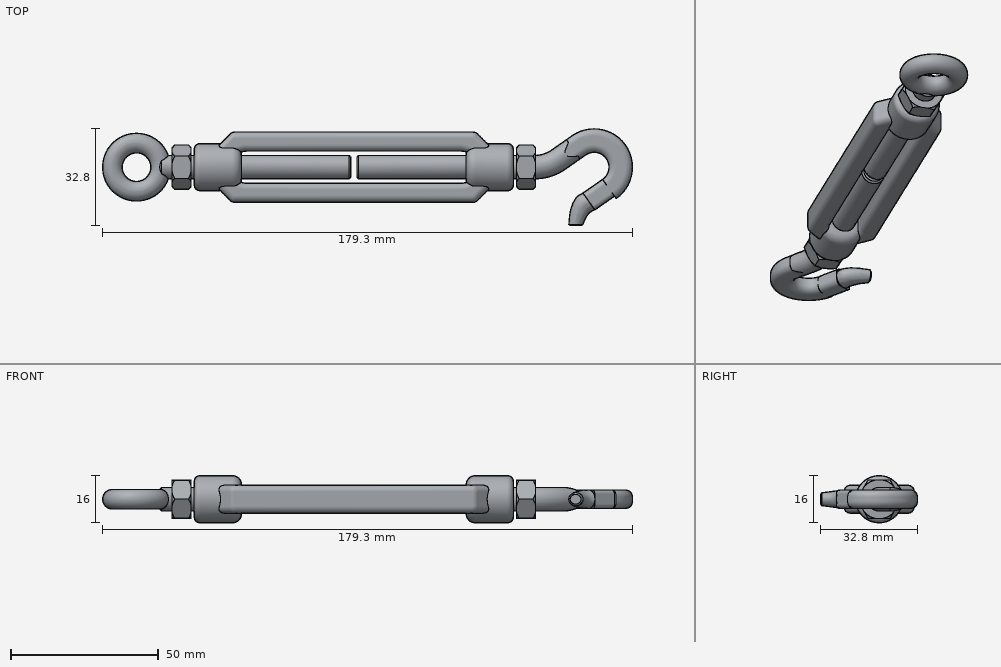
import math
import cadquery as cq


FRAME_LENGTH = 108.0
BARREL_LENGTH = 16.0
BARREL_RADIUS = 8.0
BARREL_OUTER_FILLET = 2.0
BARREL_INNER_FILLET = 3.0
BAR_OUTER_Y = 11.9
BAR_INNER_Y = 5.4
BAR_HEIGHT = 9.5
BAR_FILLET = 2.2
BAR_TURN_ANGLE = 45.0
BAR_CORNER_X = 41.2
BAR_OUTER_CORNER_RADIUS = 2.0
BAR_INNER_CORNER_RADIUS = 5.4
BAR_ROOT_Y = 3.0

BOLT_RADIUS = 4.0
BOLT_GAP = 2.0
BOLT_CHAMFER = 0.6
NUT_ACROSS_FLATS = 13.0
NUT_THICKNESS = 6.5
NUT_GAP = 1.0
NUT_CHAMFER_HEIGHT = 0.9
NUT_CHAMFER_WIDTH = 0.9

EYE_CENTRE_X = -73.5
EYE_OUTER_RADIUS = 11.5
EYE_WIRE_RADIUS = 3.35
EYE_NECK_X = -66.3
EYE_NECK_CHAMFER = 1.3

HOOK_CENTRE_X = 81.25
HOOK_INNER_RADIUS = 5.0
HOOK_OUTER_RADIUS = 13.0
HOOK_HEIGHT = 6.3
HOOK_FILLET = 2.4
HOOK_ANGLE = 35.0
SHANK_BEND_RADIUS = 14.0
FLATTENING_LENGTH = 3.6
FLATTENING_END_GAP = 2.3
FLATTENING_CLEARANCE = 0.1
ARM_LENGTH = 8.1
ARM_OUTER_RADIUS = 12.0
ARM_OUTER_FILLET = 1.4
ARM_INNER_FILLET = 2.1
TIP_Y = -19.8
TIP_X = 75.0
TIP_WIDTH = 4.7
TIP_HEIGHT = 4.3
TIP_CHAMFER = 0.5
TIP_ANGLE = 270.0
NECK_X = 76.6
NECK_Y = -14.15
NECK_ANGLE = 234.0
NECK_WIDTH = 6.4
NECK_HEIGHT = 5.8

FRAME_END = FRAME_LENGTH / 2
NUT_START = FRAME_END + NUT_GAP
HOOK_MID_RADIUS = (HOOK_INNER_RADIUS + HOOK_OUTER_RADIUS) / 2
HOOK_DEPTH = HOOK_OUTER_RADIUS - HOOK_INNER_RADIUS
HOOK_START_ANGLE = 90 + HOOK_ANGLE
HOOK_END_ANGLE = HOOK_ANGLE - 90


def mirrored(solid, plane):
    """The solid together with its mirror image."""
    return solid.union(solid.mirror(plane))


def make_barrel():
    barrel = (
        cq.Workplane("YZ", origin=(FRAME_END - BARREL_LENGTH, 0, 0))
        .circle(BARREL_RADIUS)
        .extrude(BARREL_LENGTH)
    )
    barrel = barrel.faces(">X").edges().fillet(BARREL_OUTER_FILLET)
    return barrel.faces("<X").edges().fillet(BARREL_INNER_FILLET)


def round_upright_edge(solid, x, y, radius):
    """Fillet the edge parallel to Z that passes through (x, y)."""
    edge = cq.selectors.NearestToPointSelector((x, y, 0))
    return solid.edges("|Z").edges(edge).fillet(radius)


def make_bar():
    """The +Y bar, with both ends turned inward to meet the barrels."""
    width = BAR_OUTER_Y - BAR_INNER_Y
    turn = math.radians(BAR_TURN_ANGLE)
    inner_corner_x = BAR_CORNER_X - width * math.tan(turn / 2)
    outer_root_x = BAR_CORNER_X + (BAR_OUTER_Y - BAR_ROOT_Y) / math.tan(turn)
    inner_root_x = inner_corner_x + (BAR_INNER_Y - BAR_ROOT_Y) / math.tan(turn)
    positive_end = [
        (inner_corner_x, BAR_INNER_Y),
        (inner_root_x, BAR_ROOT_Y),
        (outer_root_x, BAR_ROOT_Y),
        (BAR_CORNER_X, BAR_OUTER_Y),
    ]
    negative_end = [(-x, y) for x, y in reversed(positive_end)]
    bar = (
        cq.Workplane("XY")
        .polyline(positive_end + negative_end)
        .close()
        .extrude(BAR_HEIGHT / 2, both=True)
    )
    for side in (-1, 1):
        bar = round_upright_edge(bar, side * BAR_CORNER_X, BAR_OUTER_Y, BAR_OUTER_CORNER_RADIUS)
        bar = round_upright_edge(bar, side * inner_corner_x, BAR_INNER_Y, BAR_INNER_CORNER_RADIUS)
    return bar.faces("|Z").edges("not(<Y)").fillet(BAR_FILLET)


def make_frame():
    frame = mirrored(make_bar(), "XZ")
    return frame.union(mirrored(make_barrel(), "YZ"))


def make_nut():
    """Hexagon nut on the +X side, corners chamfered at both faces."""
    corner_radius = NUT_ACROSS_FLATS / math.sqrt(3)
    hexagon = (
        cq.Workplane("YZ", origin=(NUT_START, 0, 0))
        .polygon(6, 2 * corner_radius)
        .extrude(NUT_THICKNESS)
    )
    turned = (
        cq.Workplane("YZ", origin=(NUT_START, 0, 0))
        .circle(corner_radius)
        .extrude(NUT_THICKNESS)
        .edges()
        .chamfer(NUT_CHAMFER_HEIGHT, NUT_CHAMFER_WIDTH)
    )
    return hexagon.intersect(turned)


def make_rod(start_x, end_x):
    """Round rod along X, chamfered at the end nearest the middle of the frame."""
    rod = cq.Workplane("YZ", origin=(start_x, 0, 0)).circle(BOLT_RADIUS).extrude(end_x - start_x)
    inner_end = "<X" if start_x > 0 else ">X"
    return rod.faces(inner_end).chamfer(BOLT_CHAMFER)


def make_eye_bolt():
    rod = make_rod(EYE_NECK_X, -BOLT_GAP / 2).faces("<X").chamfer(EYE_NECK_CHAMFER)
    ring = cq.Workplane(
        cq.Solid.makeTorus(EYE_OUTER_RADIUS - EYE_WIRE_RADIUS, EYE_WIRE_RADIUS, cq.Vector(EYE_CENTRE_X, 0, 0))
    )
    return rod.union(ring)


def hook_point(radius, angle):
    """XY place at this radius and angle about the centre of the hook."""
    turn = math.radians(angle)
    return HOOK_CENTRE_X + radius * math.cos(turn), radius * math.sin(turn)


def facing_plane(point, angle):
    """Plane through an XY point, facing this angle in XY, with its local Y along Z."""
    turn = math.radians(angle)
    return cq.Plane(
        origin=(point[0], point[1], 0),
        xDir=(-math.sin(turn), math.cos(turn), 0),
        normal=(math.cos(turn), math.sin(turn), 0),
    )


def shifted(plane, distance):
    """The plane moved along its own normal."""
    return cq.Plane(plane.toWorldCoords((0, 0, distance)), plane.xDir, plane.zDir)


def section(width, height, fillet):
    return cq.Sketch().rect(width, height).vertices().fillet(fillet)


def oval(width, height):
    return cq.Sketch().ellipse(width / 2, height / 2)


def make_hook_shank():
    """Rod that bends toward +Y and runs tangent to the hook, flattened where the hook begins."""
    slope = math.radians(HOOK_ANGLE)
    tangent_x, tangent_y = hook_point(HOOK_MID_RADIUS, HOOK_START_ANGLE)
    bend_rise = SHANK_BEND_RADIUS * (1 - math.cos(slope))
    straight_length = (tangent_y - bend_rise) / math.sin(slope)
    bend_end_x = tangent_x - straight_length * math.cos(slope)
    bend_start_x = bend_end_x - SHANK_BEND_RADIUS * math.sin(slope)

    rod = make_rod(BOLT_GAP / 2, bend_start_x)
    bend = (
        cq.Workplane(facing_plane((bend_start_x, 0), 0))
        .circle(BOLT_RADIUS)
        .revolve(HOOK_ANGLE, (SHANK_BEND_RADIUS, -1, 0), (SHANK_BEND_RADIUS, 1, 0))
    )
    bend_end = facing_plane((bend_end_x, bend_rise), HOOK_ANGLE)
    flat_end = straight_length - FLATTENING_END_GAP
    straight = cq.Workplane(bend_end).circle(BOLT_RADIUS).extrude(flat_end)

    flat_start = flat_end - FLATTENING_LENGTH
    square = 2 * (BOLT_RADIUS + FLATTENING_CLEARANCE)
    untapered = cq.Workplane(bend_end).rect(2 * square, 2 * square).extrude(flat_start)
    taper = (
        cq.Workplane("XY")
        .placeSketch(
            section(square, square, HOOK_FILLET).moved(cq.Location(shifted(bend_end, flat_start))),
            section(HOOK_DEPTH, HOOK_HEIGHT, HOOK_FILLET).moved(cq.Location(shifted(bend_end, flat_end))),
        )
        .loft()
    )
    straight = straight.intersect(untapered.union(taper))
    stub = (
        cq.Workplane(shifted(bend_end, flat_end))
        .placeSketch(section(HOOK_DEPTH, HOOK_HEIGHT, HOOK_FILLET))
        .extrude(FLATTENING_END_GAP)
    )
    return rod.union(bend).union(straight).union(stub)


def make_hook_arc():
    start = facing_plane(hook_point(HOOK_MID_RADIUS, HOOK_START_ANGLE), HOOK_ANGLE)
    return (
        cq.Workplane(start)
        .placeSketch(section(HOOK_DEPTH, HOOK_HEIGHT, HOOK_FILLET))
        .revolve(HOOK_START_ANGLE - HOOK_END_ANGLE, (-HOOK_MID_RADIUS, 1, 0), (-HOOK_MID_RADIUS, -1, 0))
    )


def make_hook_arm():
    """Straight arm that comes back from the arc, then a tip that narrows and turns to face -Y."""
    arm_angle = HOOK_ANGLE + 180
    width = ARM_OUTER_RADIUS - HOOK_INNER_RADIUS
    start = facing_plane(hook_point((ARM_OUTER_RADIUS + HOOK_INNER_RADIUS) / 2, HOOK_END_ANGLE), arm_angle)
    outline = (
        cq.Sketch()
        .rect(width, HOOK_HEIGHT)
        .vertices(">X")
        .fillet(ARM_OUTER_FILLET)
        .reset()
        .vertices("<X")
        .fillet(ARM_INNER_FILLET)
    )
    arm = cq.Workplane(start).placeSketch(outline).extrude(ARM_LENGTH)

    neck = facing_plane((NECK_X, NECK_Y), NECK_ANGLE)
    tip_end = facing_plane((TIP_X, TIP_Y), TIP_ANGLE)
    tip = (
        cq.Workplane("XY")
        .placeSketch(
            oval(width, HOOK_HEIGHT).moved(cq.Location(shifted(start, ARM_LENGTH))),
            oval(NECK_WIDTH, NECK_HEIGHT).moved(cq.Location(neck)),
            oval(TIP_WIDTH, TIP_HEIGHT).moved(cq.Location(tip_end)),
        )
        .loft()
    )
    tip = tip.faces("<Y").edges().chamfer(TIP_CHAMFER)
    return arm.union(tip)


result = (
    make_frame()
    .union(mirrored(make_nut(), "YZ"))
    .union(make_eye_bolt())
    .union(make_hook_shank())
    .union(make_hook_arc())
    .union(make_hook_arm())
)